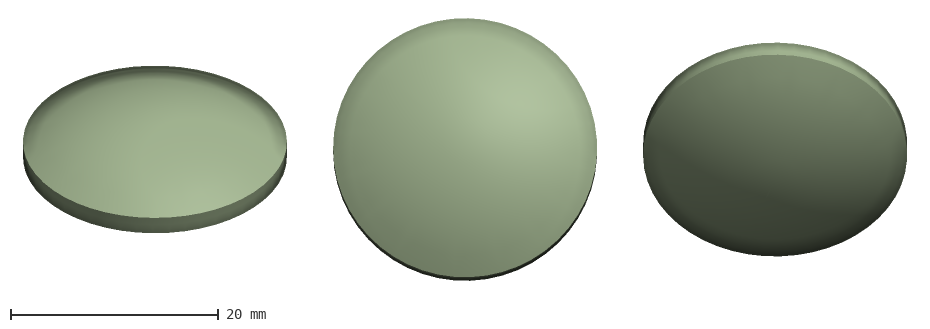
import cadquery as cq

diameter = 25.4
center_thickness = 8.85
edge_thickness = 1.8

radius = diameter / 2
half_center = center_thickness / 2
half_edge = edge_thickness / 2

cap_height = half_center - half_edge
sphere_radius = (radius**2 + cap_height**2) / (2 * cap_height)
sphere_offset = sphere_radius - half_center


def face_height(distance):
    """Height of the upper face above the middle plane at a distance from the axis."""
    return (sphere_radius**2 - distance**2) ** 0.5 - sphere_offset


arc_middle = radius / 2
arc_height = face_height(arc_middle)

half_section = (
    cq.Workplane("XZ")
    .moveTo(0, -half_center)
    .threePointArc((arc_middle, -arc_height), (radius, -half_edge))
    .lineTo(radius, half_edge)
    .threePointArc((arc_middle, arc_height), (0, half_center))
    .close()
)

result = half_section.revolve(360, (0, 0, 0), (0, 1, 0))